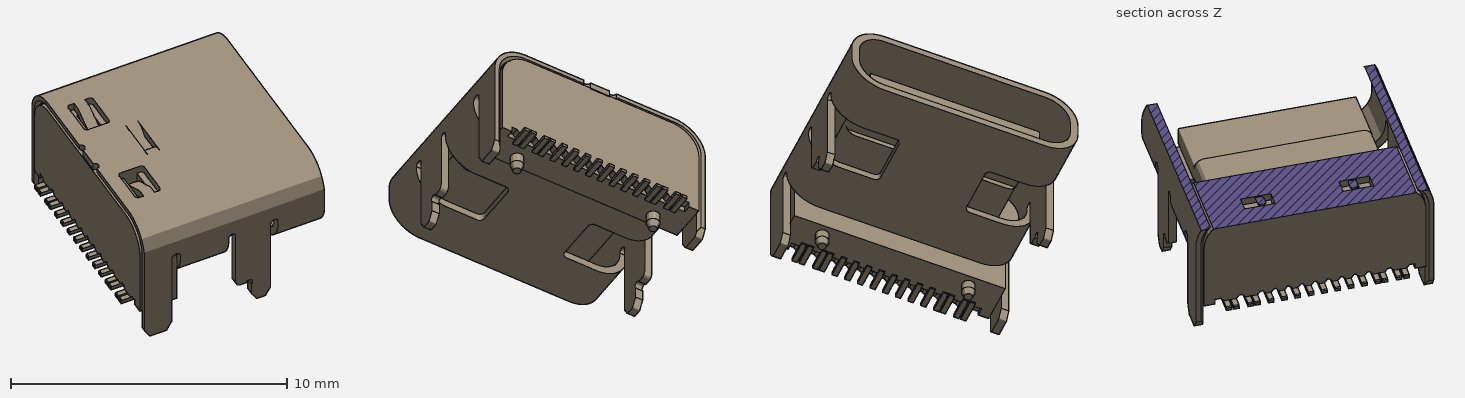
import cadquery as cq
import math


WIDTH = 8.94
HALF_WIDTH = WIDTH / 2
SHELL_LENGTH = 7.33
TOP = 4.17
SHELL_HEIGHT = 3.165
SHEET = 0.3
CORNER_R = 1.305
MID_Z = TOP - SHELL_HEIGHT / 2
INNER_HALF = HALF_WIDTH - SHEET
ROOF = TOP - SHEET
MARGIN = 0.09

LEG_TIP = -1.09
LEG_TAPER_START = -0.73
LEG_TAPER_RUN = 0.215
LEG_TIP_R = 0.08
SLOT_TOP = 2.52
REAR_SLOT = (1.11, 1.47)
MIDDLE_SLOT = (3.43, 3.71)
FRONT_SLOT = (5.13, 5.435)
LEG_OPENING_X = 1.7
OPENING_CORNER_R = 0.2
LEG_NECK_Y = 4.345
SHOULDER_Z = -0.125
SHOULDER_R = 0.215
NECK_RELIEF_R = 0.13
NECK_RELIEF_Y = 4.255
NECK_RELIEF_Z = -0.17
RIM_CHAMFER = 0.12
RIM_NOTCH_X = 0.545
RIM_NOTCH_R = 0.14

WINDOW_X = (1.29, 2.75)
WINDOW_Y = (0.545, 1.565)
WINDOW_CORNER_R = 0.12
LATCH_Y = (0.84, 1.29)
LATCH_END_X = 1.5
LATCH_BEND_X = 2.44
LATCH_BEND_R = 0.4
LATCH_TIP_R = 0.12
LATCH_ANGLE = 27.0
LATCH_POCKET_X = 2.41
LATCH_POCKET_Y = (0.78, 1.32)
LATCH_POCKET_DEPTH = 0.89

DIMPLE_HALF_LENGTH = 0.86
DIMPLE_Y = (1.98, 2.47)
DIMPLE_BEND_R = 0.55
DIMPLE_FLOOR_HALF = 0.26

HOUSING_REAR = -0.04
HOUSING_FRONT = 2.68
HOUSING_CORNER_R = 1.12
TONGUE_WIDTH = 6.69
TONGUE_THICKNESS = 0.75
TONGUE_TIP = 6.44
TONGUE_EDGE_R = 0.045
TONGUE_ROOT_THICKNESS = 1.2
TONGUE_ROOT_END = 4.29
TONGUE_ROOT_R = 0.375
PEG_X = 2.89
PEG_Y = 1.05
PEG_R = 0.25
PEG_TIP_R = 0.15
PEG_SHOULDER = 0.375
PEG_LENGTH = 0.65

TAIL_WIDTH = 0.21
TAIL_TOP = 0.08
TAIL_BOTTOM = -0.07
TAIL_END = -0.42
TAIL_ROOT = 0.45
TAIL_TIP_CHAMFER = 0.04
TAIL_GROUPS = [(0.25,), (0.75,), (1.25,), (1.75,), (2.26, 2.52), (3.06, 3.335)]
RECESS_HALF = 3.755
RECESS_HEIGHT = 0.215
RECESS_DEPTH = 0.27
TOOTH_FLARE = 0.11


def box(x, y, z):
    """Box between (low, high) limits on each axis."""
    size = [high - low for low, high in (x, y, z)]
    return cq.Workplane("XY").box(*size, centered=False).translate((x[0], y[0], z[0]))


def both_sides(body):
    return body.union(body.mirror("YZ"))


def extrude_xz(outline, y_start, y_end):
    """Extrude an XZ sketch placed at y = 0 so that it spans y_start to y_end."""
    return outline.extrude(y_start - y_end).translate((0, y_start, 0))


def rounded_tube_body(inset, radius, y_start, y_end):
    """Solid with the shell's rounded cross-section, inset all round."""
    body = box(
        (inset - HALF_WIDTH, HALF_WIDTH - inset),
        (y_start, y_end),
        (TOP - SHELL_HEIGHT + inset, TOP - inset),
    )
    return body.edges("|Y").fillet(radius)


def arch_outline(inset, radius, bottom):
    """XZ outline with a flat bottom and two rounded top corners."""
    half = HALF_WIDTH - inset
    top = TOP - inset
    corner = radius * (1 - math.sqrt(0.5))
    return (
        cq.Workplane("XZ")
        .moveTo(-half, bottom)
        .lineTo(-half, top - radius)
        .threePointArc((corner - half, top - corner), (radius - half, top))
        .lineTo(half - radius, top)
        .threePointArc((half - corner, top - corner), (half, top - radius))
        .lineTo(half, bottom)
        .close()
    )


def wall_plate(outline):
    """Extrude a YZ outline through the thickness of the right-hand wall."""
    return outline.extrude(SHEET).translate((INNER_HALF, 0, 0))


def leg(outline):
    """Turn a YZ outline into a leg in the plane of the right-hand wall, with its tip corners rounded."""
    body = wall_plate(outline)
    return body.faces("<Z").edges("|X").fillet(LEG_TIP_R)


def make_rear_leg():
    front = REAR_SLOT[0]
    return leg(
        cq.Workplane("YZ")
        .moveTo(0, SLOT_TOP)
        .lineTo(0, LEG_TAPER_START)
        .lineTo(LEG_TAPER_RUN, LEG_TIP)
        .lineTo(front - LEG_TAPER_RUN, LEG_TIP)
        .lineTo(front, LEG_TAPER_START)
        .lineTo(front, SLOT_TOP)
        .close()
    )


def make_front_leg():
    rear = MIDDLE_SLOT[1]
    front = FRONT_SLOT[0]
    shoulder_bend = SHOULDER_R * (1 - math.sqrt(0.5))
    body = leg(
        cq.Workplane("YZ")
        .moveTo(rear, SLOT_TOP)
        .lineTo(rear, SHOULDER_Z + SHOULDER_R)
        .threePointArc(
            (rear + shoulder_bend, SHOULDER_Z + shoulder_bend),
            (rear + SHOULDER_R, SHOULDER_Z),
        )
        .lineTo(LEG_NECK_Y, SHOULDER_Z)
        .lineTo(LEG_NECK_Y, LEG_TAPER_START)
        .lineTo(LEG_NECK_Y + LEG_TAPER_RUN, LEG_TIP)
        .lineTo(front - LEG_TAPER_RUN, LEG_TIP)
        .lineTo(front, LEG_TAPER_START)
        .lineTo(front, SLOT_TOP)
        .close()
    )
    relief = wall_plate(cq.Workplane("YZ").center(NECK_RELIEF_Y, NECK_RELIEF_Z).circle(NECK_RELIEF_R))
    return body.cut(relief)


def make_side_openings():
    """Slots beside the legs and the sheet freed by bending the front legs, on the right-hand side."""
    outer = HALF_WIDTH + MARGIN
    below = TOP - SHELL_HEIGHT - MARGIN
    opening = box(
        (LEG_OPENING_X, outer),
        (MIDDLE_SLOT[0], FRONT_SLOT[1]),
        (below, SLOT_TOP - (MIDDLE_SLOT[1] - MIDDLE_SLOT[0]) / 2),
    )
    opening = opening.edges("|Z and <X").fillet(OPENING_CORNER_R)
    for rear, front in (REAR_SLOT, MIDDLE_SLOT, FRONT_SLOT):
        radius = (front - rear) / 2
        slot_end = (
            cq.Workplane("YZ")
            .center((rear + front) / 2, SLOT_TOP - radius)
            .circle(radius)
            .extrude(outer - LEG_OPENING_X)
            .translate((LEG_OPENING_X, 0, 0))
        )
        opening = opening.union(slot_end)
    return opening


def make_rim_relief():
    """Chamfer along the inner rear edge, interrupted between two round notches in the roof."""
    chamfer = arch_outline(
        SHEET - RIM_CHAMFER, CORNER_R - SHEET + RIM_CHAMFER, LEG_TIP - 2 * RIM_CHAMFER
    ).extrude(-RIM_CHAMFER, taper=45)
    chamfer = chamfer.cut(box((-RIM_NOTCH_X, RIM_NOTCH_X), (-MARGIN, 2 * RIM_CHAMFER), (MID_Z, TOP)))
    notches = (
        cq.Workplane("XY", origin=(0, 0, MID_Z))
        .pushPoints([(-RIM_NOTCH_X, 0), (RIM_NOTCH_X, 0)])
        .circle(RIM_NOTCH_R)
        .extrude(TOP - MID_Z)
    )
    return chamfer.union(notches)


def make_latch():
    """Tab bent down from the outer end of the right-hand window towards the middle."""
    angle = math.radians(LATCH_ANGLE)
    root_x = WINDOW_X[1] + MARGIN
    drop = (LATCH_BEND_X - LATCH_END_X) * math.tan(angle)
    under_bend_x = LATCH_BEND_X + SHEET * math.tan(angle / 2)
    body = extrude_xz(
        cq.Workplane("XZ")
        .moveTo(root_x, TOP)
        .lineTo(LATCH_BEND_X, TOP)
        .lineTo(LATCH_END_X, TOP - drop)
        .lineTo(LATCH_END_X + SHEET * math.sin(angle), TOP - drop - SHEET * math.cos(angle))
        .lineTo(under_bend_x, ROOF)
        .lineTo(root_x, ROOF)
        .close(),
        *LATCH_Y,
    )
    nearest_edge = cq.selectors.NearestToPointSelector
    tip_middle_x = LATCH_END_X + SHEET * math.sin(angle) / 2
    tip_middle_z = TOP - drop - SHEET * math.cos(angle) / 2
    for side_y in LATCH_Y:
        body = body.edges(nearest_edge((tip_middle_x, side_y, tip_middle_z))).fillet(LATCH_TIP_R)
    middle_y = sum(LATCH_Y) / 2
    return body.edges(nearest_edge((LATCH_BEND_X, middle_y, TOP))).fillet(LATCH_BEND_R)


def make_window():
    window = box(WINDOW_X, WINDOW_Y, (ROOF, TOP))
    return window.edges("|Z").fillet(WINDOW_CORNER_R)


def make_dimple():
    """Pressed hollow as deep as the sheet: each end is a convex bend flowing into a concave one."""
    run = DIMPLE_HALF_LENGTH - DIMPLE_FLOOR_HALF
    both_bend_radii = (run**2 + SHEET**2) / (2 * SHEET)
    slope = math.asin(run / both_bend_radii)
    foot_r = both_bend_radii - DIMPLE_BEND_R

    def on_bend(angle):
        return (
            DIMPLE_HALF_LENGTH - DIMPLE_BEND_R * math.sin(angle),
            TOP - DIMPLE_BEND_R * (1 - math.cos(angle)),
        )

    def on_foot(angle):
        return DIMPLE_FLOOR_HALF + foot_r * math.sin(angle), ROOF + foot_r * (1 - math.cos(angle))

    half = extrude_xz(
        cq.Workplane("XZ")
        .moveTo(0, TOP)
        .lineTo(0, ROOF)
        .lineTo(DIMPLE_FLOOR_HALF, ROOF)
        .threePointArc(on_foot(slope / 2), on_foot(slope))
        .threePointArc(on_bend(slope / 2), on_bend(0))
        .close(),
        *DIMPLE_Y,
    )
    return both_sides(half)


def make_shell():
    tube = rounded_tube_body(0, CORNER_R, 0, SHELL_LENGTH)
    tube = tube.cut(rounded_tube_body(SHEET, CORNER_R - SHEET, -MARGIN, SHELL_LENGTH + MARGIN))
    outer = HALF_WIDTH + MARGIN
    rear_slot_r = (REAR_SLOT[1] - REAR_SLOT[0]) / 2
    rear_opening = box(
        (-outer, outer),
        (-MARGIN, REAR_SLOT[1]),
        (TOP - SHELL_HEIGHT - MARGIN, SLOT_TOP - rear_slot_r),
    )
    shell = tube.cut(rear_opening)
    shell = shell.cut(both_sides(make_side_openings()))
    shell = shell.union(both_sides(make_rear_leg())).union(both_sides(make_front_leg()))
    shell = shell.cut(make_rim_relief())
    return shell.cut(both_sides(make_window()))


def make_tail_recess():
    """Recess under the rear edge, with a tooth left above each group of tails."""
    recess = box((-RECESS_HALF, RECESS_HALF), (HOUSING_REAR, RECESS_DEPTH), (0, RECESS_HEIGHT))
    for group in TAIL_GROUPS:
        low = group[0] - TAIL_WIDTH / 2
        high = group[-1] + TAIL_WIDTH / 2
        tooth = extrude_xz(
            cq.Workplane("XZ")
            .moveTo(low, TAIL_TOP)
            .lineTo(high, TAIL_TOP)
            .lineTo(high + TOOTH_FLARE, RECESS_HEIGHT)
            .lineTo(low - TOOTH_FLARE, RECESS_HEIGHT)
            .close(),
            HOUSING_REAR,
            RECESS_DEPTH,
        )
        recess = recess.cut(both_sides(tooth))
    return recess


def make_tongue():
    half = TONGUE_WIDTH / 2

    def slab(thickness, rear, front, radius):
        body = box((-half, half), (rear, front), (MID_Z - thickness / 2, MID_Z + thickness / 2))
        return body.edges("|Y").fillet(radius)

    root = slab(TONGUE_ROOT_THICKNESS, HOUSING_FRONT, TONGUE_ROOT_END, TONGUE_ROOT_R)
    return root.union(slab(TONGUE_THICKNESS, TONGUE_ROOT_END, TONGUE_TIP, TONGUE_EDGE_R))


def make_peg():
    return (
        cq.Workplane("XZ")
        .moveTo(0, MARGIN)
        .lineTo(PEG_R, MARGIN)
        .lineTo(PEG_R, -PEG_SHOULDER)
        .lineTo(PEG_TIP_R, -PEG_LENGTH)
        .lineTo(0, -PEG_LENGTH)
        .close()
        .revolve(360, (0, 0, 0), (0, 1, 0))
        .translate((PEG_X, PEG_Y, 0))
    )


def make_housing():
    rear_block = extrude_xz(arch_outline(SHEET, HOUSING_CORNER_R, 0), HOUSING_REAR, REAR_SLOT[1])
    front_block = rounded_tube_body(SHEET, HOUSING_CORNER_R, REAR_SLOT[1], HOUSING_FRONT)
    pocket = box((WINDOW_X[0], LATCH_POCKET_X), LATCH_POCKET_Y, (TOP - LATCH_POCKET_DEPTH, ROOF))
    housing = rear_block.union(front_block).union(make_tongue()).union(both_sides(make_peg()))
    return housing.cut(both_sides(pocket)).cut(make_tail_recess())


def make_tails():
    tails = cq.Workplane("XY")
    for group in TAIL_GROUPS:
        for x in group:
            tail = box(
                (x - TAIL_WIDTH / 2, x + TAIL_WIDTH / 2), (TAIL_END, TAIL_ROOT), (TAIL_BOTTOM, TAIL_TOP)
            )
            tail = tail.faces("<Y").edges(">Z").chamfer(TAIL_TIP_CHAMFER)
            tails = tails.union(both_sides(tail))
    return tails


result = make_shell().union(make_housing()).union(make_tails())
result = result.cut(make_dimple()).union(both_sides(make_latch()))